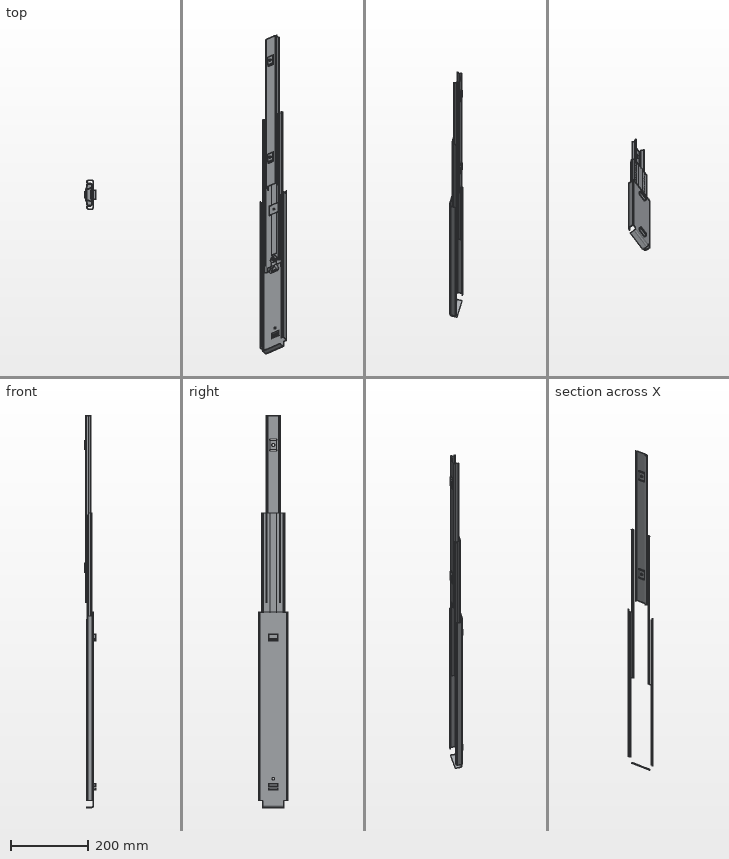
import cadquery as cq
import math

SHEET = 1.5
TOTAL_DEPTH = 29.0

OUTER_BACK = 8.6
OUTER_FRONT = -9.0
OUTER_HALF = 76.0 / 2
OUTER_LIP = 7.0
OUTER_BEND = 3.0
OUTER_TOP = 507.0
OUTER_BOTTOM = 18.0
OUTER_FLANGE_TOP = 497.0
OUTER_LIP_TOP = 488.0

TAB_HALF = 27.0
TAB_BEND_RADIUS = 5.0

HOOK_REACH = TOTAL_DEPTH / 2
HOOK_HALF = 12.0
HOOK_WALL = 1.0
UPPER_HOOKS = ((450.0, 12.0), (436.0, 4.0))
LOWER_HOOKS = ((63.0, 8.0), (52.0, 6.0))
LOCATING_HOLE_Z = 75.0
LOCATING_HOLE_RADIUS = 3.0

MIDDLE_BACK = 5.0
MIDDLE_FRONT = -8.6
MIDDLE_HALF = 30.0
MIDDLE_LIP = 8.6
MIDDLE_BEND = 4.0
MIDDLE_TOP = 764.0
MIDDLE_BOTTOM = 265.0
MIDDLE_LIP_TOP = 759.0
MIDDLE_WEB_BOTTOM = 278.0
EAR_Y = 20.0

RIB_HALF = 8.0
RIB_HEIGHT = 1.2
RIB_BOTTOM = 314.0
PAD_HALF = 29.0 / 2
PAD_HEIGHT = 2.0
PAD_TOP = 478.0
PAD_BOTTOM = 447.0
PAD_HOLE_Z = 461.0
PAD_HOLE_RADIUS = 2.5

INNER_FRONT = -12.0
INNER_BACK = 2.5
INNER_HALF = 18.0
INNER_BEND_X = 2.0
INNER_BEND_Y = 4.0
GROOVE_DEPTH = 3.0
GROOVE_HALF = 5.0
INNER_TOP = 1016.0
INNER_BOTTOM = 531.0

BRIDGE_REACH = -TOTAL_DEPTH / 2
BRIDGE_HALF = 8.6
BRIDGE_HEIGHT = 24.0
BRIDGE_CENTRES = (940.0, 622.0)
WINDOW_HEIGHT = 3.0
BRIDGE_HOLE_RADIUS = 3.6

LATCH_THICKNESS = 2.0
LATCH_HEAD_THICKNESS = 3.0
LATCH_HEAD_Z = 297.0
LATCH_HEAD_RADIUS = 10.0
LATCH_HOLE_RADIUS = 4.0
LATCH_NECK_HALF = 8.0
LATCH_FOOT_WIDE_Z = 262.0
LATCH_FOOT_HALF = 15.0
LATCH_BOTTOM = 256.0
LATCH_BOTTOM_HALF = 11.0
LATCH_WINDOW_TOP = 276.0
LATCH_WINDOW_BOTTOM = 261.0
LATCH_WINDOW_HALF = 8.0


def box(x_range, y_range, z_range):
    """Box between two X, two Y and two Z values."""
    (x0, x1), (y0, y1), (z0, z1) = x_range, y_range, z_range
    return cq.Workplane("XY").box(x1 - x0, y1 - y0, z1 - z0, centered=False).translate((x0, y0, z0))


def mitred_offset(path, distance):
    """Points of an open path moved sideways, to the left of its direction, with mitred corners."""
    normals = []
    for (x0, y0), (x1, y1) in zip(path, path[1:]):
        length = math.hypot(x1 - x0, y1 - y0)
        normals.append(((y0 - y1) / length, (x1 - x0) / length))
    moved = []
    for (x, y), (ax, ay), (bx, by) in zip(path, normals[:1] + normals, normals + normals[-1:]):
        reach = distance / (1 + ax * bx + ay * by)
        moved.append((x + (ax + bx) * reach, y + (ay + by) * reach))
    return moved


def channel(half_path, inward, bottom, top):
    """Bent sheet channel; half_path is its outside from the edge of one flange to the web at +Y."""
    outside = half_path + [(x, -y) for x, y in reversed(half_path)]
    inside = mitred_offset(outside, inward * SHEET)
    section = cq.Workplane("XY").workplane(offset=bottom).polyline(outside + inside[::-1])
    return section.close().extrude(top - bottom)


def lipped_flange(front, back, half, lip, bend):
    """Outside of a flange along X with bevelled corners and a lip turned in at the front."""
    return [
        (front, half - lip),
        (front, half - bend),
        (front + bend, half),
        (back - bend, half),
        (back, half - bend),
    ]


def pressed_hook(top, height):
    """Hook block on the outer web and the pocket that hollows it from inside."""
    bottom = top - height
    y_outer = (-HOOK_HALF, HOOK_HALF)
    y_inner = (HOOK_WALL - HOOK_HALF, HOOK_HALF - HOOK_WALL)
    block = box((OUTER_BACK - SHEET, HOOK_REACH), y_outer, (bottom, top))
    pocket = box((OUTER_BACK - SHEET, HOOK_REACH - HOOK_WALL), y_inner, (bottom + HOOK_WALL, top - HOOK_WALL))
    return block, pocket


def foot_tab():
    """L-shaped tab below the outer web."""
    depth = OUTER_BACK - OUTER_FRONT
    outline = (
        cq.Workplane("XZ", origin=(0, TAB_HALF, 0))
        .moveTo(OUTER_BACK, OUTER_BOTTOM)
        .lineTo(OUTER_BACK, TAB_BEND_RADIUS)
        .radiusArc((OUTER_BACK - TAB_BEND_RADIUS, 0), TAB_BEND_RADIUS)
        .hLine(TAB_BEND_RADIUS - depth)
        .vLine(SHEET)
        .hLine(depth - TAB_BEND_RADIUS)
        .radiusArc((OUTER_BACK - SHEET, TAB_BEND_RADIUS), SHEET - TAB_BEND_RADIUS)
        .lineTo(OUTER_BACK - SHEET, OUTER_BOTTOM)
        .close()
    )
    return outline.extrude(2 * TAB_HALF)


def outer_member():
    half_path = lipped_flange(OUTER_FRONT, OUTER_BACK, OUTER_HALF, OUTER_LIP, OUTER_BEND)
    body = channel(half_path, -1, OUTER_BOTTOM, OUTER_TOP)
    full_width = (-OUTER_HALF, OUTER_HALF)
    web_corner = OUTER_BACK - OUTER_BEND
    lip_corner = OUTER_FRONT + OUTER_BEND
    body = body.cut(box((OUTER_FRONT, web_corner), full_width, (OUTER_FLANGE_TOP, OUTER_TOP)))
    body = body.cut(box((OUTER_FRONT, lip_corner), full_width, (OUTER_LIP_TOP, OUTER_TOP)))
    body = body.union(foot_tab())
    for top, height in UPPER_HOOKS + LOWER_HOOKS:
        block, pocket = pressed_hook(top, height)
        body = body.union(block).cut(pocket)
    hole = cq.Workplane("YZ").center(0, LOCATING_HOLE_Z).circle(LOCATING_HOLE_RADIUS).extrude(OUTER_BACK)
    return body.cut(hole)


def middle_member():
    half_path = lipped_flange(MIDDLE_FRONT, MIDDLE_BACK, MIDDLE_HALF, MIDDLE_LIP, MIDDLE_BEND)
    body = channel(half_path, -1, MIDDLE_BOTTOM, MIDDLE_TOP)

    full_width = (-MIDDLE_HALF, MIDDLE_HALF)
    lips = (MIDDLE_FRONT, MIDDLE_FRONT + MIDDLE_BEND)
    body = body.cut(box(lips, full_width, (MIDDLE_LIP_TOP, MIDDLE_TOP)))
    body = body.cut(box(lips, full_width, (MIDDLE_BOTTOM, MIDDLE_WEB_BOTTOM)))
    body = body.cut(box((0, MIDDLE_BACK), (-EAR_Y, EAR_Y), (MIDDLE_BOTTOM, MIDDLE_WEB_BOTTOM)))

    web_face = MIDDLE_BACK - SHEET
    rib = box((web_face - RIB_HEIGHT, web_face), (-RIB_HALF, RIB_HALF), (RIB_BOTTOM, MIDDLE_TOP))
    pad = box((web_face - PAD_HEIGHT, web_face), (-PAD_HALF, PAD_HALF), (PAD_BOTTOM, PAD_TOP))
    hole = cq.Workplane("YZ").center(0, PAD_HOLE_Z).circle(PAD_HOLE_RADIUS).extrude(MIDDLE_BACK)
    return body.union(rib).union(pad).cut(hole)


def inner_member():
    groove_x = INNER_FRONT + INNER_BEND_X + GROOVE_HALF
    half_path = [
        (INNER_BACK, INNER_HALF),
        (groove_x + GROOVE_HALF, INNER_HALF),
        (groove_x, INNER_HALF - GROOVE_DEPTH),
        (INNER_FRONT + INNER_BEND_X, INNER_HALF),
        (INNER_FRONT, INNER_HALF - INNER_BEND_Y),
    ]
    body = channel(half_path, 1, INNER_BOTTOM, INNER_TOP)
    web = (INNER_FRONT, INNER_FRONT + SHEET)
    width = (-BRIDGE_HALF, BRIDGE_HALF)
    for centre in BRIDGE_CENTRES:
        bottom = centre - BRIDGE_HEIGHT / 2
        top = centre + BRIDGE_HEIGHT / 2
        body = body.union(box((BRIDGE_REACH, INNER_FRONT + SHEET), width, (bottom, top)))
        body = body.cut(box(web, width, (top, top + WINDOW_HEIGHT)))
        body = body.cut(box(web, width, (bottom - WINDOW_HEIGHT, bottom)))
        hole = cq.Workplane("YZ", origin=(BRIDGE_REACH, 0, centre)).circle(BRIDGE_HOLE_RADIUS)
        body = body.cut(hole.extrude(INNER_FRONT + SHEET - BRIDGE_REACH))
    return body


def latch():
    """Latch lying on the middle web: thick round head, straight neck and flared foot."""
    web_face = MIDDLE_BACK - SHEET
    plane = cq.Workplane("YZ", origin=(web_face, 0, 0))
    half = [
        (LATCH_NECK_HALF, LATCH_HEAD_Z),
        (LATCH_NECK_HALF, MIDDLE_WEB_BOTTOM),
        (LATCH_FOOT_HALF, LATCH_FOOT_WIDE_Z),
        (LATCH_BOTTOM_HALF, LATCH_BOTTOM),
    ]
    mirrored = [(-y, z) for y, z in reversed(half)]
    arm = plane.polyline(half + mirrored).close().extrude(-LATCH_THICKNESS)
    corners = [
        (0, LATCH_WINDOW_TOP),
        (LATCH_WINDOW_HALF, LATCH_WINDOW_BOTTOM),
        (-LATCH_WINDOW_HALF, LATCH_WINDOW_BOTTOM),
    ]
    window = plane.polyline(corners).close().extrude(-LATCH_THICKNESS)
    head_plane = plane.center(0, LATCH_HEAD_Z)
    head = head_plane.circle(LATCH_HEAD_RADIUS).extrude(-LATCH_HEAD_THICKNESS)
    hole = head_plane.circle(LATCH_HOLE_RADIUS).extrude(-LATCH_HEAD_THICKNESS)
    return arm.cut(window).union(head).cut(hole)


outer = outer_member()
middle = middle_member()
inner = inner_member()
catch = latch()

result = cq.Compound.makeCompound([outer.val(), middle.val(), inner.val(), catch.val()])